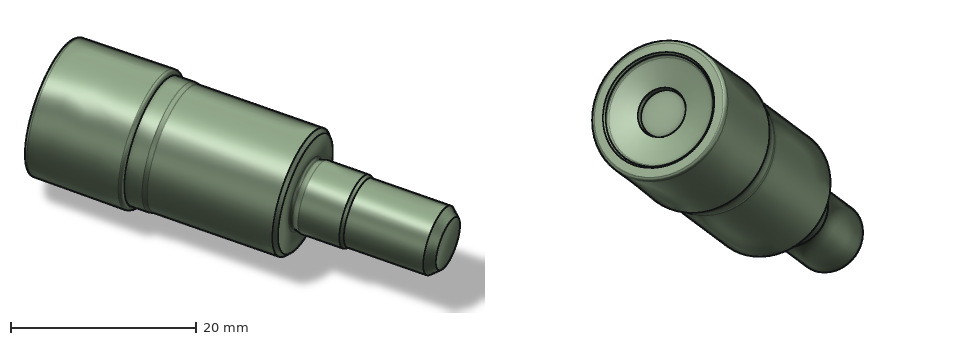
import cadquery as cq

total_length = 46.95
cap_length = 11.8

cap_front_radius = 8.0
cap_rear_radius = 8.1
cap_front_fillet = 0.38
cap_rear_fillet = 0.45
rim_inner_radius = 6.58
rim_chamfer = 0.25
dish_fillet = 0.25
dish_inner_radius = 2.8
dish_cone_depth = 0.38
center_radius = 2.7
center_step_depth = 0.55

shoulder_radius = 15.0 / 2
shoulder_end = 13.9
barrel_radius = 14.75 / 2
barrel_start = 14.45
barrel_end = 29.9
barrel_chamfer = 0.45
neck_radius = 8.1 / 2
neck_fillet = 0.3
neck_width = 0.1
collar_radius = 8.5 / 2
collar_start = 31.0
collar_end = 36.0
tip_radius = 8.0 / 2
tip_start = 36.4
tip_chamfer_length = 1.1
tip_end_radius = 3.05


def revolve_about_x(profile):
    """Turn a closed half profile, drawn as (x, radius), about the X axis."""
    return profile.close().revolve(360, (0, 0, 0), (1, 0, 0))


def make_cap():
    """Cap with rounded front and rear rims and a stepped conical dish."""
    dish_wall_radius = rim_inner_radius - rim_chamfer
    cone_start = rim_chamfer + dish_fillet
    cone_end = cone_start + dish_cone_depth
    center_depth = cone_end + center_step_depth
    profile = (
        cq.Workplane("XY")
        .moveTo(center_depth, 0)
        .lineTo(center_depth, center_radius)
        .lineTo(cone_end, dish_inner_radius)
        .lineTo(cone_start, dish_wall_radius - dish_fillet)
        .radiusArc((rim_chamfer, dish_wall_radius), -dish_fillet)
        .lineTo(0, rim_inner_radius)
        .lineTo(0, cap_front_radius - cap_front_fillet)
        .radiusArc((cap_front_fillet, cap_front_radius), cap_front_fillet)
        .lineTo(cap_length - cap_rear_fillet, cap_rear_radius)
        .radiusArc((cap_length, cap_rear_radius - cap_rear_fillet), cap_rear_fillet)
        .lineTo(cap_length, 0)
    )
    return revolve_about_x(profile)


def make_stud():
    """Stepped stud that butts against the rear face of the cap."""
    neck_start = barrel_end + neck_fillet
    profile = (
        cq.Workplane("XY")
        .moveTo(cap_length, 0)
        .lineTo(cap_length, shoulder_radius)
        .lineTo(shoulder_end, shoulder_radius)
        .lineTo(barrel_start, barrel_radius)
        .lineTo(barrel_end - barrel_chamfer, barrel_radius)
        .lineTo(barrel_end, barrel_radius - barrel_chamfer)
        .lineTo(barrel_end, neck_radius + neck_fillet)
        .radiusArc((neck_start, neck_radius), -neck_fillet)
        .lineTo(neck_start + neck_width, neck_radius)
        .lineTo(collar_start, collar_radius)
        .lineTo(collar_end, collar_radius)
        .lineTo(tip_start, tip_radius)
        .lineTo(total_length - tip_chamfer_length, tip_radius)
        .lineTo(total_length, tip_end_radius)
        .lineTo(total_length, 0)
    )
    return revolve_about_x(profile)


cap = make_cap()
stud = make_stud()
result = cq.Compound.makeCompound([cap.val(), stud.val()])